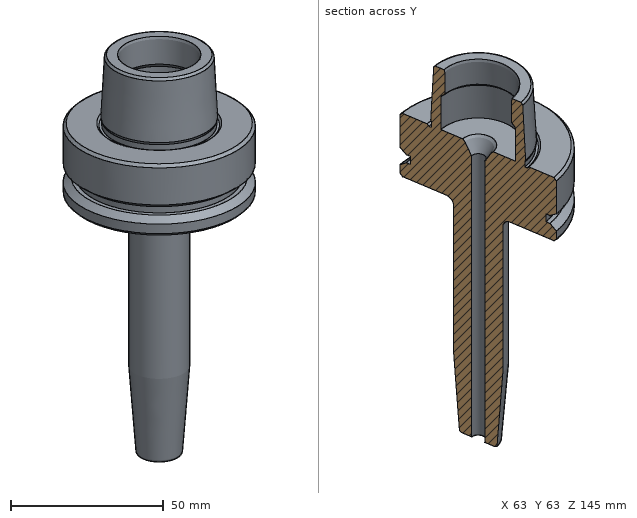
import cadquery as cq
import math

total_height = 145
taper_height = 25.0
flange_height = 26.0
nose_height = 31.8
flange_top = total_height - taper_height
flange_bottom = flange_top - flange_height

flange_radius = 31.5
flange_chamfer = 1.0
groove_radius = 27.3
groove_lip_radius = 28.9
groove_upper_edge = flange_top - 14.5
groove_lower_edge = flange_bottom + 4.5
groove_roof = groove_upper_edge - 1.9
groove_floor = groove_lower_edge + 2.0

taper_top_radius = 18.0
taper_base_radius = 19.1
taper_chamfer_height = 0.9
taper_chamfer_width = 0.7
taper_base = flange_top + 2.2
neck_radius = 18.8
neck_top = taper_base - 0.9
relief_depth = 0.7
relief_outer_radius = 20.5
relief_floor_radius = 19.7

shank_radius = 10.0
shank_fillet = 2.9
nose_tip_radius = 7.7
nose_rounding = 1.2

bore_radius = 13.3
bore_chamfer_width = 0.3
bore_chamfer_height = 1.0
bore_shoulder = total_height - 10.0
undercut_radius = 15.0
undercut_slope_height = 1.6
bore_floor = flange_top

hole_radius = 2.6
lead_in_radius = 6.1
lead_in_chamfer = 0.9
lead_in_cone_radius = lead_in_radius - lead_in_chamfer
lead_in_cone_top = bore_floor - lead_in_chamfer
lead_in_cone_height = (lead_in_cone_radius - hole_radius) * math.sqrt(3)


def arc_middle(center_x, center_z, radius, angle):
    """Point on a circle in the radial plane at an angle in degrees."""
    turn = math.radians(angle)
    return center_x + radius * math.cos(turn), center_z + radius * math.sin(turn)


def make_body():
    """Revolve the outer silhouette from the tip up to the taper mouth."""
    rounding_middle = arc_middle(nose_tip_radius - nose_rounding, nose_rounding, nose_rounding, -45)
    fillet_center_x = shank_radius + shank_fillet
    fillet_center_z = flange_bottom - shank_fillet
    fillet_middle = arc_middle(fillet_center_x, fillet_center_z, shank_fillet, 135)
    profile = (
        cq.Workplane("XZ")
        .lineTo(nose_tip_radius - nose_rounding, 0)
        .threePointArc(rounding_middle, (nose_tip_radius, nose_rounding))
        .lineTo(shank_radius, nose_height)
        .lineTo(shank_radius, fillet_center_z)
        .threePointArc(fillet_middle, (fillet_center_x, flange_bottom))
        .lineTo(flange_radius - flange_chamfer, flange_bottom)
        .lineTo(flange_radius, flange_bottom + flange_chamfer)
        .lineTo(flange_radius, groove_lower_edge)
        .lineTo(groove_lip_radius, groove_floor)
        .lineTo(groove_radius, groove_floor)
        .lineTo(groove_radius, groove_roof)
        .lineTo(groove_lip_radius, groove_roof)
        .lineTo(flange_radius, groove_upper_edge)
        .lineTo(flange_radius, flange_top - flange_chamfer)
        .lineTo(flange_radius - flange_chamfer, flange_top)
        .lineTo(relief_outer_radius, flange_top)
        .lineTo(relief_floor_radius, flange_top - relief_depth)
        .lineTo(neck_radius, flange_top - relief_depth)
        .lineTo(neck_radius, neck_top)
        .lineTo(taper_base_radius, taper_base)
        .lineTo(taper_top_radius, total_height - taper_chamfer_height)
        .lineTo(taper_top_radius - taper_chamfer_width, total_height)
        .lineTo(0, total_height)
        .close()
    )
    return profile.revolve(360, (0, 0), (0, 1))


def make_cavity():
    """Revolve the through hole, its lead-in cone and the clamping bore."""
    profile = (
        cq.Workplane("XZ")
        .lineTo(hole_radius, 0)
        .lineTo(hole_radius, lead_in_cone_top - lead_in_cone_height)
        .lineTo(lead_in_cone_radius, lead_in_cone_top)
        .lineTo(lead_in_radius, bore_floor)
        .lineTo(undercut_radius, bore_floor)
        .lineTo(undercut_radius, bore_shoulder - undercut_slope_height)
        .lineTo(bore_radius, bore_shoulder)
        .lineTo(bore_radius, total_height - bore_chamfer_height)
        .lineTo(bore_radius + bore_chamfer_width, total_height)
        .lineTo(0, total_height)
        .close()
    )
    return profile.revolve(360, (0, 0), (0, 1))


result = make_body().cut(make_cavity())